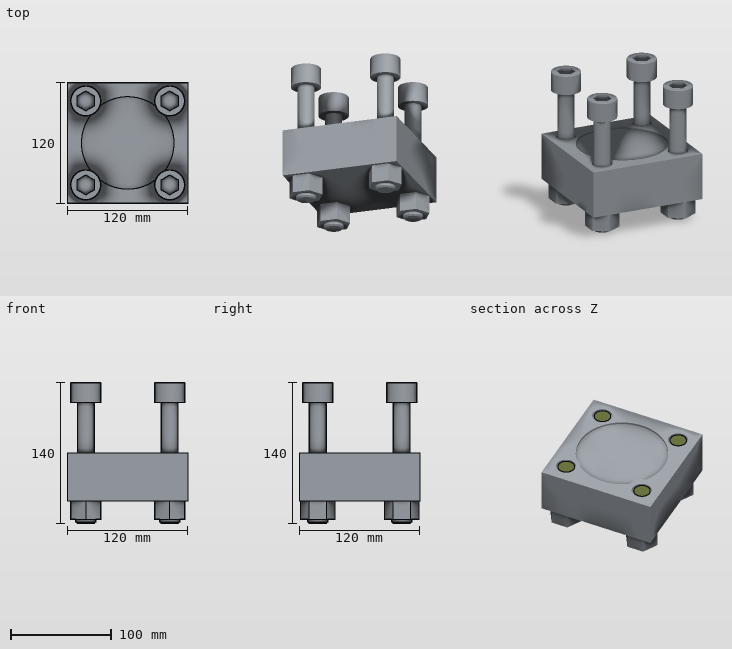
import cadquery as cq
import math

block_side = 120.0
block_height = 48.0
pocket_diameter = 92.0
pocket_depth = 2.0

bolt_circle_diameter = 118.0
screw_spacing = bolt_circle_diameter / math.sqrt(2)

thread_diameter = 20.0
shank_diameter = 16.93
thread_step = (thread_diameter - shank_diameter) / 2
exposed_shank_length = 50.0
head_diameter = 30.0
head_height = 20.0
head_chamfer_height = 0.6
head_chamfer_angle = 30.0
head_chamfer_width = head_chamfer_height * math.tan(math.radians(head_chamfer_angle))
socket_across_flats = 17.0
socket_depth = 10.0

nut_across_flats = 30.0
nut_height = 18.0
thread_protrusion = 4.0

head_base_z = block_height + exposed_shank_length
head_top_z = head_base_z + head_height
thread_top_z = block_height - thread_step
screw_end_z = -nut_height - thread_protrusion


def cylinder(diameter, bottom_z, height):
    """Cylinder on the Z axis, standing on the given level."""
    return cq.Workplane("XY").workplane(offset=bottom_z).circle(diameter / 2).extrude(height)


def hexagonal_prism(across_flats, bottom_z, height):
    """Hexagonal prism with its flats facing +X and -X and corners on the Y axis."""
    sides = 6
    half_side_angle = 180 / sides
    across_corners = across_flats / math.cos(math.radians(half_side_angle))
    prism = cq.Workplane("XY").polygon(sides, across_corners).extrude(height)
    return prism.rotate((0, 0, 0), (0, 0, 1), half_side_angle).translate((0, 0, bottom_z))


def make_block():
    """Square block with a shallow round pocket in its top."""
    block = cq.Workplane("XY").box(block_side, block_side, block_height, centered=(True, True, False))
    pocket = cylinder(pocket_diameter, block_height - pocket_depth, pocket_depth)
    return block.cut(pocket)


def make_thread_hole():
    """Top of the screw hole, down to the level where the full thread fills it."""
    return cylinder(thread_diameter, thread_top_z, thread_step)


def make_thread_runout():
    """45 degree cone inside the screw hole, from the thread up to the shank at the block top."""
    return cq.Workplane("XY").add(
        cq.Solid.makeCone(
            thread_diameter / 2,
            shank_diameter / 2,
            thread_step,
            pnt=cq.Vector(0, 0, thread_top_z),
        )
    )


def make_screw():
    """Socket head screw on the Z axis, with its nut and chamfered threaded end."""
    head = cylinder(head_diameter, head_base_z, head_height)
    head = head.faces(">Z").chamfer(head_chamfer_height, head_chamfer_width)
    socket = hexagonal_prism(socket_across_flats, head_top_z - socket_depth, socket_depth)
    shank_bottom_z = block_height / 2
    shank = cylinder(shank_diameter, shank_bottom_z, head_base_z - shank_bottom_z)
    nut = hexagonal_prism(nut_across_flats, -nut_height, nut_height)
    threaded_end = cylinder(thread_diameter, screw_end_z, -screw_end_z)
    threaded_end = threaded_end.faces("<Z").chamfer(thread_step)
    return head.cut(socket).union(shank).union(make_thread_runout()).union(nut).union(threaded_end)


def at_screw_positions(body):
    """Copies of a body, one at each corner of the screw pattern."""
    offset = screw_spacing / 2
    return [body.translate((x, y, 0)) for x in (-offset, offset) for y in (-offset, offset)]


result = make_block()
for thread_hole in at_screw_positions(make_thread_hole()):
    result = result.cut(thread_hole)
for screw in at_screw_positions(make_screw()):
    result = result.union(screw)